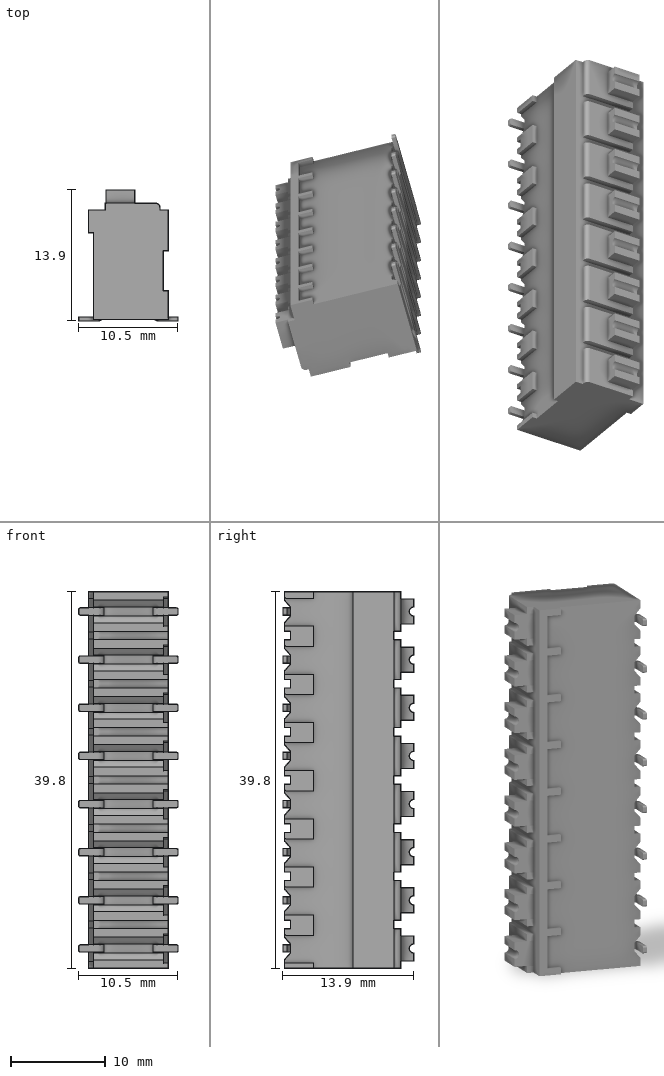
import cadquery as cq


cell_count = 8
strip_length = 39.75
cell_gap = 0.87
cell_height = (strip_length - (cell_count - 1) * cell_gap) / cell_count
cell_pitch = cell_height + cell_gap

housing_left = -3.7
housing_right = 4.2
rail_left = -4.2
flank_right = housing_right - 0.5

housing_front = 0.15
flank_front = 3.22
flank_back = 7.4
post_front = 9.3
rail_front = 10.8
shoulder_back = 11.73
neck_back = 12.45
tab_back = 13.85

groove_depth = 0.65
vee_mouth = 2.4
vee_floor = 0.95

post_height = 0.7

window_above = 1.4
window_below = 1.55
window_chamfer = 0.15

neck_left = -2.45
neck_right = 3.35
neck_radius = 0.48
tab_left = -2.4
tab_right = 0.68
tab_height = 2.65
tab_clearance = 0.05
tab_notch_radius = 0.48

pin_tip = 5.25
pin_leg_inner = 2.6
pin_thickness = 0.45
pin_height = 0.8
pin_bend_radius = 0.65
pin_tip_radius = 0.2
pin_embed = 0.4

cell_centers = [(i - (cell_count - 1) / 2) * cell_pitch for i in range(cell_count)]
gap_centers = [z + cell_pitch / 2 for z in cell_centers[:-1]]


def block(x_range, y_range, z_center, height):
    """Box between two X values and two Y values, centred on z_center."""
    x0, x1 = x_range
    y0, y1 = y_range
    return cq.Workplane("XY").box(x1 - x0, y1 - y0, height).translate(
        ((x0 + x1) / 2, (y0 + y1) / 2, z_center)
    )


def make_housing():
    """Main body with the left rail and the notched right flank."""
    outline = [
        (housing_left, housing_front),
        (housing_right, housing_front),
        (housing_right, flank_front),
        (flank_right, flank_front),
        (flank_right, flank_back),
        (housing_right, flank_back),
        (housing_right, shoulder_back),
        (rail_left, shoulder_back),
        (rail_left, post_front),
        (housing_left, post_front),
    ]
    return (
        cq.Workplane("XY")
        .polyline(outline)
        .close()
        .extrude(strip_length)
        .translate((0, 0, -strip_length / 2))
    )


def make_rail_openings():
    """Openings that leave posts at both ends and in the middle of every cell gap."""
    bounds = (
        [-strip_length / 2 + post_height / 2]
        + gap_centers
        + [strip_length / 2 - post_height / 2]
    )
    openings = cq.Workplane("XY")
    for below, above in zip(bounds[:-1], bounds[1:]):
        openings = openings.add(
            block(
                (rail_left, housing_left),
                (post_front, rail_front),
                (below + above) / 2,
                above - below - post_height,
            )
        )
    return openings


def make_vee_groove(z_center):
    """Flat-bottomed V groove across the front of a cell."""
    outline = [
        (housing_front, -vee_mouth / 2),
        (housing_front, vee_mouth / 2),
        (housing_front + groove_depth, vee_floor / 2),
        (housing_front + groove_depth, -vee_floor / 2),
    ]
    return (
        cq.Workplane("YZ")
        .polyline(outline)
        .close()
        .extrude(housing_right - housing_left)
        .translate((housing_left, 0, z_center))
    )


def make_window(z_center):
    """Window through the right front edge, with its upper front edge chamfered."""
    outline = [
        (housing_front, -window_below),
        (flank_front, -window_below),
        (flank_front, window_above),
        (housing_front + window_chamfer, window_above),
        (housing_front, window_above + window_chamfer),
    ]
    return (
        cq.Workplane("YZ")
        .polyline(outline)
        .close()
        .extrude(housing_right - flank_right)
        .translate((flank_right, 0, z_center))
    )


def make_neck(z_center):
    """Raised back of a cell, rounded on the right and recessed where the tab emerges."""
    neck = block(
        (neck_left, neck_right), (shoulder_back, neck_back), z_center, cell_height
    )
    neck = neck.edges("|Z and >X and >Y").fillet(neck_radius)
    recess = block(
        (neck_left, tab_left),
        (shoulder_back, neck_back),
        z_center,
        tab_height + 2 * tab_clearance,
    )
    return neck.cut(recess)


def make_tab(z_center):
    """Contact tab with a half-round notch in its end."""
    tab = block((tab_left, tab_right), (shoulder_back, tab_back), z_center, tab_height)
    notch = (
        cq.Workplane("YZ")
        .center(tab_back, z_center)
        .circle(tab_notch_radius)
        .extrude(tab_right - tab_left)
        .translate((tab_left, 0, 0))
    )
    return tab.cut(notch)


def make_right_pin():
    """L-shaped pin with a rounded tip: a leg out of the groove floor, bent to the right."""
    leg_back = housing_front + groove_depth + pin_embed
    inner_radius = pin_bend_radius - pin_thickness
    outline = [
        (pin_leg_inner, 0),
        (pin_tip, 0),
        (pin_tip, pin_thickness),
        (pin_leg_inner + pin_thickness, pin_thickness),
        (pin_leg_inner + pin_thickness, leg_back),
        (pin_leg_inner, leg_back),
    ]
    pin = (
        cq.Workplane("XY")
        .polyline(outline)
        .close()
        .extrude(pin_height)
        .translate((0, 0, -pin_height / 2))
    )
    outer_corner = cq.selectors.NearestToPointSelector((pin_leg_inner, 0, 0))
    inner_corner = cq.selectors.NearestToPointSelector(
        (pin_leg_inner + pin_thickness, pin_thickness, 0)
    )
    pin = pin.edges(outer_corner).fillet(pin_bend_radius)
    pin = pin.edges(inner_corner).fillet(inner_radius)
    return pin.edges("|Y and >X").fillet(pin_tip_radius)


housing = make_housing().cut(make_rail_openings().combine())
for gap_z in gap_centers:
    gap_slot = block(
        (housing_left, housing_right),
        (housing_front, housing_front + groove_depth),
        gap_z,
        cell_gap,
    )
    housing = housing.cut(gap_slot)

right_pin = make_right_pin()
left_pin = right_pin.mirror("YZ")

result = housing
for cell_z in cell_centers:
    result = result.cut(make_vee_groove(cell_z)).cut(make_window(cell_z))
    result = result.union(make_neck(cell_z)).union(make_tab(cell_z))
    for pin in (left_pin, right_pin):
        result = result.union(pin.translate((0, 0, cell_z)))